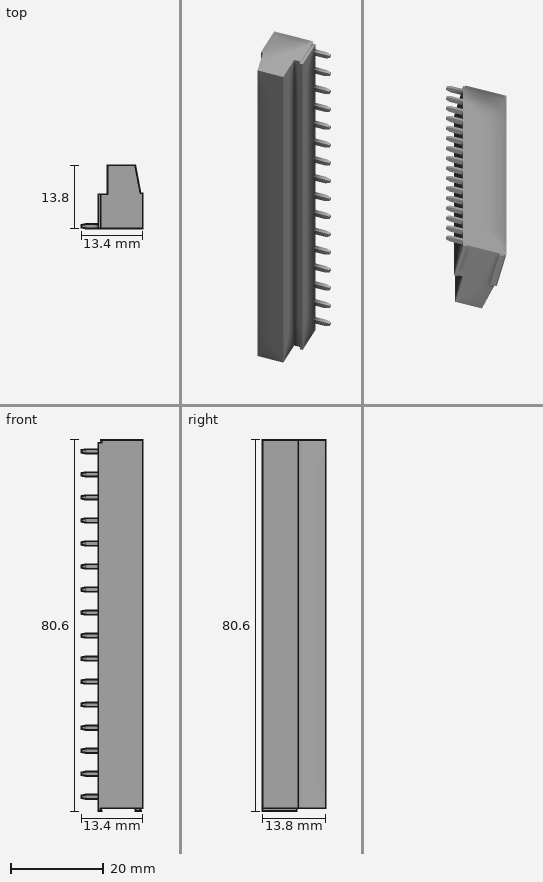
import cadquery as cq

housing_length = 80.0
front_y = 0.0
base_width = 7.75
shoulder_width = 7.5
total_width = 13.8

housing_left = 3.65
upper_left = 5.65
upper_right = 11.7
taper_right = 12.85
housing_right = 13.35

pin_count = 16
pin_pitch = 5.0
pin_size = 1.0
pin_inset = 0.05
pin_tip_length = 1.0
pin_tip_size = 0.6
pin_embed = 1.0

rib_height = 0.6
rib_neck = 0.5
rib_flare = 0.3
clip_left = 11.7
clip_neck = 1.0
clip_start_y = 0.1
clip_end_y = shoulder_width


def extrude_along_y(points, start_y, end_y):
    """Extrude an outline of (x, z) points from start_y to end_y."""
    plane = cq.Workplane("XZ", origin=(0, start_y, 0))
    return plane.polyline(points).close().extrude(start_y - end_y)


def make_housing():
    """Stepped profile with one tapered side, extruded along Z."""
    outline = [
        (housing_left, front_y),
        (housing_right, front_y),
        (housing_right, base_width),
        (taper_right, base_width),
        (upper_right, total_width),
        (upper_left, total_width),
        (upper_left, shoulder_width),
        (housing_left, shoulder_width),
    ]
    return cq.Workplane("XY").polyline(outline).close().extrude(housing_length)


def make_edge_rib(base_z):
    """Half dovetail along the pin-side edge, widening downwards from base_z."""
    outline = [
        (housing_left, base_z),
        (housing_left + rib_neck, base_z),
        (housing_left + rib_neck + rib_flare, base_z - rib_height),
        (housing_left, base_z - rib_height),
    ]
    return extrude_along_y(outline, front_y, shoulder_width)


def make_clip():
    """Clip below the bottom end, flared towards +X like the edge rib."""
    outline = [
        (clip_left, 0),
        (clip_left + clip_neck, 0),
        (clip_left + clip_neck + rib_flare, -rib_height),
        (clip_left, -rib_height),
    ]
    return extrude_along_y(outline, clip_start_y, clip_end_y)


def make_pin(center_z):
    """Square pin pointing towards -X with a tapered tip."""
    center_y = front_y + pin_inset + pin_size / 2
    plane = cq.Workplane("YZ", origin=(pin_tip_length, center_y, center_z))
    shank = plane.rect(pin_size, pin_size).extrude(housing_left + pin_embed - pin_tip_length)
    tip = (
        plane.rect(pin_size, pin_size)
        .workplane(offset=-pin_tip_length)
        .rect(pin_tip_size, pin_tip_size)
        .loft()
    )
    return shank.union(tip)


result = make_housing().cut(make_edge_rib(housing_length))
result = result.union(make_edge_rib(0)).union(make_clip())
first_pin_z = (housing_length - (pin_count - 1) * pin_pitch) / 2
for index in range(pin_count):
    result = result.union(make_pin(first_pin_z + index * pin_pitch))